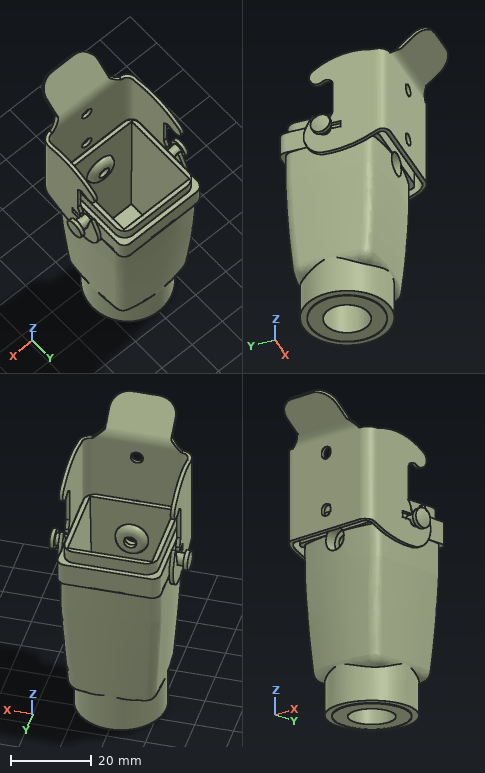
import cadquery as cq
import math


NECK_D = 23.5
NECK_RIM_D = 19.9
NECK_RIM_H = 0.2
CABLE_BORE_D = 12.0

SHELL_BASE_Z = 9.0
SHELL_MID_Z = 22.6
SHELL_TAPER_Z = 36.55
SHELL_TOP_X = 13.5
SHELL_TOP_Y = 13.3
SHELL_MID_X = 12.6
SHELL_MID_Y = 12.9
SHELL_LOW_X = 11.7
SHELL_LOW_Y = 11.7
SHELL_BOW_X = 0.67
SHELL_BOW_Y = 1.7
SHELL_CORNER_R = 2.85
SHELL_BASE_R = 2.8
FLAT_EDGE_RISE = 0.1

FLANGE_BOTTOM_Z = 45.1
FLANGE_TOP_Z = 51.1
FLANGE_X = 26.6
FLANGE_Y = 26.8
FLANGE_R = 2.3
COLLAR_TOP_Z = 54.5
COLLAR_SIDE = 24.15
COLLAR_R = 3.1

CAVITY_FLOOR_Z = 14.2
CAVITY_TOP_SIDE = 21.7
CAVITY_FLOOR_SIDE = 19.8

RECESS_Z = 43.65
RECESS_D = 6.2
RECESS_DEPTH = 3.4
SCREW_HOLE_D = 3.2
BOSS_D = 8.5
BOSS_BASE_Y = -10.7
BOSS_END_Y = -8.8
BOSS_END_R = 1.8

PIN_Z = 48.15
PIN_D = 3.2
PIN_HEAD_D = 5.2
PIN_HEAD_X = 16.65
PIN_RIM_X = 17.75
PIN_END_X = 18.2

SHEET = 1.0
LEVER_FRONT_Y = -16.4
LEVER_FRONT_X = 14.6
LEVER_BACK_Y = 6.3
LEVER_BACK_X = 14.9
LEVER_BEND_R = 3.1
LEVER_FLAT_X = LEVER_FRONT_X - LEVER_BEND_R
LEVER_BOTTOM_Z = 45.15
LEVER_TOP_Z = 69.3
LEVER_HOLE_D = 3.15
LEVER_HOLE_ZS = (50.35, 65.4)

DOME_START_Y = -12.7
DOME_CREST = (-7.0, 70.1)
BEAK_TOP = (2.85, 67.0)
BEAK_NOSE = (4.2, 65.3)
BEAK_UNDERSIDE = (0.7, 62.75)
THROAT_ROUND = (-1.3, 62.9)
THROAT_Y = -2.1
THROAT_TOP_Z = 61.8
THROAT_BOTTOM_Z = 53.0
SEAT_ENTRY = (-1.1, 50.8)
SEAT_START_ANGLE = 126
SEAT_LOW_ANGLE = 250
SEAT_END_ANGLE = 13
HOOK_INNER = (2.7, 52.5)
HOOK_TIP = (3.15, 52.95)
HOOK_OUTER = (3.6, 52.6)
HEEL_TOP = (5.0, 49.95)
HEEL_ROUND = (5.2, 45.0)
HEEL_BOTTOM = (0.6, 41.3)
LOWER_EDGE_MID = (-7.1, 41.8)
LOWER_EDGE_END = (-14.8, 44.8)

SLIT_END_Y = -4.3
SLIT_Z = 48.8
SLIT_W = 1.65

TAB_TIP_Z = 78.9
TAB_TURN = 50.0
TAB_BEND_R = 3.15
TAB_W = 17.05
TAB_NECK_Z = 72.05
TAB_CORNER_R = 5.0


def add_shell_section(plane, crown_x, crown_y):
    """Draw a rectangle with four outward bowed sides on the given workplane."""
    corner_x = crown_x - SHELL_BOW_X
    corner_y = crown_y - SHELL_BOW_Y
    return (
        plane.moveTo(-corner_x, -corner_y)
        .threePointArc((0, -crown_y), (corner_x, -corner_y))
        .threePointArc((crown_x, 0), (corner_x, corner_y))
        .threePointArc((0, crown_y), (-corner_x, corner_y))
        .threePointArc((-crown_x, 0), (-corner_x, -corner_y))
        .close()
    )


def make_shell():
    """Solid shell: convex tapered lower part, straight upper part, rounded edges."""
    sections = cq.Workplane("XY").workplane(offset=SHELL_BASE_Z)
    sections = add_shell_section(sections, SHELL_LOW_X, SHELL_LOW_Y)
    sections = sections.workplane(offset=SHELL_MID_Z - SHELL_BASE_Z)
    sections = add_shell_section(sections, SHELL_MID_X, SHELL_MID_Y)
    sections = sections.workplane(offset=SHELL_TAPER_Z - SHELL_MID_Z)
    sections = add_shell_section(sections, SHELL_TOP_X, SHELL_TOP_Y)
    lower = sections.loft()

    upper = cq.Workplane("XY").workplane(offset=SHELL_TAPER_Z)
    upper = add_shell_section(upper, SHELL_TOP_X, SHELL_TOP_Y)
    shell = lower.union(upper.extrude(FLANGE_BOTTOM_Z - SHELL_TAPER_Z))

    corners = [edge for edge in shell.edges().vals() if edge.BoundingBox().zlen > FLAT_EDGE_RISE]
    shell = shell.newObject(corners).fillet(SHELL_CORNER_R)
    return shell.faces("<Z").edges().fillet(SHELL_BASE_R)


def make_neck():
    """Round cable neck with a low rim on its lower end."""
    rim = cq.Workplane("XY").circle(NECK_RIM_D / 2).extrude(NECK_RIM_H)
    neck = cq.Workplane("XY").workplane(offset=NECK_RIM_H).circle(NECK_D / 2)
    return neck.extrude(CAVITY_FLOOR_Z - NECK_RIM_H).union(rim)


def make_mating_end():
    """Flange with the narrower collar above it."""
    flange = (
        cq.Workplane("XY").workplane(offset=FLANGE_BOTTOM_Z)
        .rect(FLANGE_X, FLANGE_Y)
        .extrude(FLANGE_TOP_Z - FLANGE_BOTTOM_Z)
        .edges("|Z").fillet(FLANGE_R)
    )
    collar = (
        cq.Workplane("XY").workplane(offset=FLANGE_TOP_Z)
        .rect(COLLAR_SIDE, COLLAR_SIDE)
        .extrude(COLLAR_TOP_Z - FLANGE_TOP_Z)
        .edges("|Z").fillet(COLLAR_R)
    )
    return flange.union(collar)


def make_cavity():
    """Tapered square cavity together with the cable bore below it."""
    cavity = (
        cq.Workplane("XY").workplane(offset=CAVITY_FLOOR_Z)
        .rect(CAVITY_FLOOR_SIDE, CAVITY_FLOOR_SIDE)
        .workplane(offset=COLLAR_TOP_Z - CAVITY_FLOOR_Z)
        .rect(CAVITY_TOP_SIDE, CAVITY_TOP_SIDE)
        .loft(ruled=True)
    )
    bore = cq.Workplane("XY").circle(CABLE_BORE_D / 2).extrude(CAVITY_FLOOR_Z)
    return cavity.union(bore)


def plane_facing_back(y):
    """XZ workplane at the given Y, centred on the screw and extruding toward +Y."""
    return cq.Workplane(cq.Plane((0, y, RECESS_Z), xDir=(1, 0, 0), normal=(0, 1, 0)))


def make_screw_boss():
    """Rounded boss on the inside of the -Y wall."""
    boss = plane_facing_back(BOSS_BASE_Y).circle(BOSS_D / 2).extrude(BOSS_END_Y - BOSS_BASE_Y)
    return boss.faces(">Y").edges().fillet(BOSS_END_R)


def make_screw_recess():
    """Counterbore from the -Y face with a screw hole through the boss."""
    recess = plane_facing_back(-FLANGE_Y / 2).circle(RECESS_D / 2).extrude(RECESS_DEPTH)
    hole = plane_facing_back(-FLANGE_Y / 2).circle(SCREW_HOLE_D / 2).extrude(FLANGE_Y / 2 + BOSS_END_Y)
    return recess.union(hole)


def make_pin(side):
    """Pivot pin with a domed head; side is +1 or -1 along X."""
    root_x = COLLAR_SIDE / 2
    head_r = PIN_HEAD_D / 2
    dome_rise = PIN_END_X - PIN_RIM_X
    dome_r = (head_r ** 2 + dome_rise ** 2) / (2 * dome_rise)
    dome_mid_x = PIN_END_X - dome_r + math.sqrt(dome_r ** 2 - (head_r / 2) ** 2)
    pin = (
        cq.Workplane("XY")
        .moveTo(root_x, 0)
        .lineTo(root_x, PIN_D / 2)
        .lineTo(PIN_HEAD_X, PIN_D / 2)
        .lineTo(PIN_HEAD_X, head_r)
        .lineTo(PIN_RIM_X, head_r)
        .threePointArc((dome_mid_x, head_r / 2), (PIN_END_X, 0))
        .close()
        .revolve(360, (0, 0, 0), (1, 0, 0))
        .translate((0, 0, PIN_Z))
    )
    return pin if side > 0 else pin.mirror("YZ")


def make_hood():
    """Hood with its neck, mating end, cavity, screw recess and pivot pins."""
    hood = make_shell().union(make_neck()).union(make_mating_end())
    hood = hood.cut(make_cavity()).union(make_screw_boss()).cut(make_screw_recess())
    for side in (-1, 1):
        hood = hood.union(make_pin(side))
    return hood


def lever_plan(inset):
    """U-shaped footprint of the lever, moved inward by inset, as a tall block."""
    front_y = LEVER_FRONT_Y + inset
    front_x = LEVER_FRONT_X - inset
    back_x = LEVER_BACK_X - inset
    block = (
        cq.Workplane("XY")
        .polyline([(-front_x, front_y), (front_x, front_y), (back_x, LEVER_BACK_Y), (-back_x, LEVER_BACK_Y)])
        .close()
        .extrude(TAB_TIP_Z)
    )
    return block.faces("<Y").edges("|Z").fillet(LEVER_BEND_R - inset)


def pin_seat_point(degrees):
    """Point (Y, Z) on the edge of the pin seat at the given angle from +Y."""
    angle = math.radians(degrees)
    return (PIN_D / 2 * math.cos(angle), PIN_Z + PIN_D / 2 * math.sin(angle))


def lever_side_profile():
    """Side outline of the lever, extruded across its full width."""
    half_width = LEVER_BACK_X + SHEET
    return (
        cq.Workplane("YZ").workplane(offset=-half_width)
        .moveTo(LEVER_FRONT_Y, LEVER_BOTTOM_Z)
        .lineTo(LEVER_FRONT_Y, LEVER_TOP_Z)
        .lineTo(DOME_START_Y, LEVER_TOP_Z)
        .threePointArc(DOME_CREST, BEAK_TOP)
        .threePointArc(BEAK_NOSE, BEAK_UNDERSIDE)
        .threePointArc(THROAT_ROUND, (THROAT_Y, THROAT_TOP_Z))
        .lineTo(THROAT_Y, THROAT_BOTTOM_Z)
        .lineTo(*SEAT_ENTRY)
        .lineTo(*pin_seat_point(SEAT_START_ANGLE))
        .threePointArc(pin_seat_point(SEAT_LOW_ANGLE), pin_seat_point(SEAT_END_ANGLE))
        .lineTo(*HOOK_INNER)
        .threePointArc(HOOK_TIP, HOOK_OUTER)
        .lineTo(*HEEL_TOP)
        .threePointArc(HEEL_ROUND, HEEL_BOTTOM)
        .threePointArc(LOWER_EDGE_MID, LOWER_EDGE_END)
        .close()
        .extrude(2 * half_width)
    )


def make_lever_slits():
    """Slit that opens into the pin seat of both side arms."""
    slit = cq.Workplane("XY").box(2 * LEVER_BACK_X, -SLIT_END_Y, SLIT_W)
    return slit.translate((0, SLIT_END_Y / 2, SLIT_Z))


def make_lever_holes():
    """Two holes through the front wall."""
    centres = [(0, z) for z in LEVER_HOLE_ZS]
    holes = cq.Workplane("XZ", origin=(0, LEVER_FRONT_Y + SHEET, 0)).pushPoints(centres)
    return holes.circle(LEVER_HOLE_D / 2).extrude(SHEET)


def make_tab():
    """Finger tab bent outward from the top edge of the front wall."""
    turn = math.radians(TAB_TURN)
    centre_y = LEVER_FRONT_Y - TAB_BEND_R
    outer_r = TAB_BEND_R + SHEET
    length = (TAB_TIP_Z - LEVER_TOP_Z - outer_r * math.sin(turn)) / math.cos(turn)

    def bend_point(radius, angle):
        return (centre_y + radius * math.cos(angle), LEVER_TOP_Z + radius * math.sin(angle))

    def tip_point(radius):
        y, z = bend_point(radius, turn)
        return (y - length * math.sin(turn), z + length * math.cos(turn))

    sheet = (
        cq.Workplane("YZ").workplane(offset=-LEVER_FLAT_X)
        .moveTo(*bend_point(TAB_BEND_R, 0))
        .threePointArc(bend_point(TAB_BEND_R, turn / 2), bend_point(TAB_BEND_R, turn))
        .lineTo(*tip_point(TAB_BEND_R))
        .lineTo(*tip_point(outer_r))
        .lineTo(*bend_point(outer_r, turn))
        .threePointArc(bend_point(outer_r, turn / 2), bend_point(outer_r, 0))
        .close()
        .extrude(2 * LEVER_FLAT_X)
    )
    outline = (
        cq.Workplane("XZ")
        .polyline([
            (-LEVER_FLAT_X, LEVER_TOP_Z), (LEVER_FLAT_X, LEVER_TOP_Z),
            (TAB_W / 2, TAB_NECK_Z), (TAB_W / 2, TAB_TIP_Z),
            (-TAB_W / 2, TAB_TIP_Z), (-TAB_W / 2, TAB_NECK_Z),
        ])
        .close()
        .extrude(2 * abs(LEVER_FRONT_Y))
    )
    tab = sheet.intersect(outline)
    return tab.faces("<Y").edges("not |X").fillet(TAB_CORNER_R)


def make_lever():
    """U-shaped locking lever that hooks over both pins."""
    walls = lever_plan(0).cut(lever_plan(SHEET))
    lever = walls.intersect(lever_side_profile())
    return lever.cut(make_lever_slits()).cut(make_lever_holes()).union(make_tab())


hood = make_hood()
lever = make_lever()

result = cq.Compound.makeCompound([hood.val(), lever.val()])